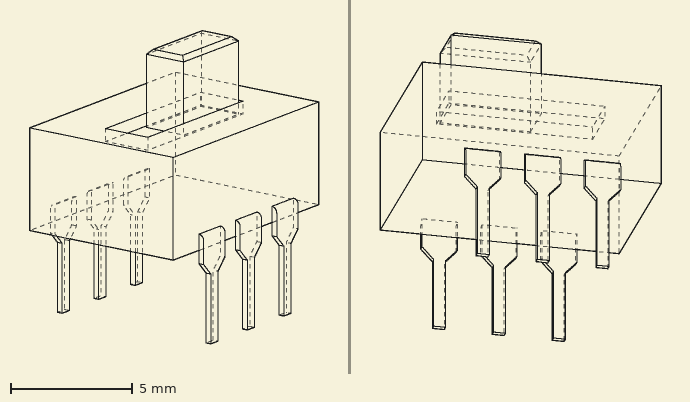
import cadquery as cq

overall_width = 7.86
overall_height = 11.31
lead_thickness = 0.25
housing_width = overall_width - 2 * lead_thickness
housing_length = 10.16
housing_height = 4.42

slot_width = 2.16
slot_length = 6.63
slot_depth = 0.55

slider_clearance = 0.12
slider_width = slot_width - 2 * slider_clearance
slider_length = 3.83
slider_chamfer = 0.2

lead_pitch = 2.55
leads_per_side = 3
pad_width = 1.49
pin_width = 0.51
pad_top = 0.7
pad_bottom = -0.57
taper_height = 0.52
lead_drop = 4.09
lead_tip = -lead_drop

slider_top = overall_height - lead_drop
slot_floor = housing_height - slot_depth
slider_y = (slot_length - slider_length) / 2 - slider_clearance


def make_housing():
    """Rectangular block with a blind slot for the slider."""
    block = cq.Workplane("XY").box(
        housing_width, housing_length, housing_height, centered=(True, True, False)
    )
    slot = (
        cq.Workplane("XY", origin=(0, 0, slot_floor))
        .rect(slot_width, slot_length)
        .extrude(slot_depth)
    )
    return block.cut(slot)


def make_slider():
    """Rectangular knob with its top edges chamfered."""
    return (
        cq.Workplane("XY", origin=(0, slider_y, slot_floor))
        .rect(slider_width, slider_length)
        .extrude(slider_top - slot_floor)
        .faces(">Z")
        .edges()
        .chamfer(slider_chamfer)
    )


def make_lead(side, y):
    """Flat lead on the side face at +X (side = 1) or -X (side = -1)."""
    half_pad = pad_width / 2
    half_pin = pin_width / 2
    taper_end = pad_bottom - taper_height
    blade = (
        cq.Workplane("YZ")
        .polyline([
            (-half_pad, pad_top),
            (half_pad, pad_top),
            (half_pad, pad_bottom),
            (half_pin, taper_end),
            (half_pin, lead_tip),
            (-half_pin, lead_tip),
            (-half_pin, taper_end),
            (-half_pad, pad_bottom),
        ])
        .close()
        .extrude(lead_thickness)
    )
    rounded_profile = (
        cq.Workplane("XZ")
        .moveTo(0, lead_tip)
        .lineTo(lead_thickness, lead_tip)
        .lineTo(lead_thickness, pad_top - lead_thickness)
        .radiusArc((0, pad_top), -lead_thickness)
        .close()
        .extrude(half_pad, both=True)
    )
    lead = blade.intersect(rounded_profile)
    if side < 0:
        lead = lead.mirror("YZ")
    return lead.translate((side * housing_width / 2, y, 0))


housing = make_housing()
slider = make_slider()
leads = []
for side in (-1, 1):
    for index in range(leads_per_side):
        lead_y = (index - (leads_per_side - 1) / 2) * lead_pitch
        leads.append(make_lead(side, lead_y).val())

result = cq.Compound.makeCompound([housing.val(), slider.val(), *leads])